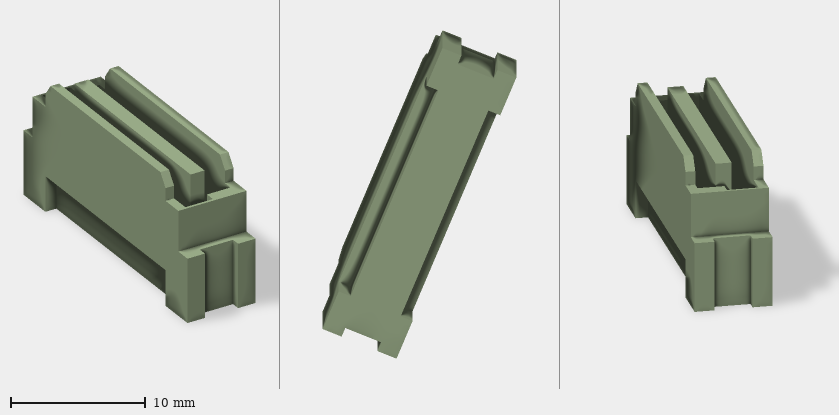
import cadquery as cq

length = 23.3
depth = 5.95
height = 11.0
base_height = 5.45
shoulder_length = 20.71
shoulder_height = 8.9
crest_length = 17.05
crest_chamfer_run = 0.72
crest_chamfer_drop = 1.03

wall = 0.75
cavity_front_length = 20.27
cavity_back_length = 18.6
cavity_step_y = 0.175
cavity_floor = 3.85

tongue_length = 16.5
tongue_thickness = 1.2
tongue_top = 10.32

notch_depth = 0.72
notch_width = 2.9
recess_height = 3.03
recess_depth = 0.95


def block(size_x, y_min, y_max, z_min, z_max):
    """Box centred on X = 0 between the given Y and Z limits."""
    return (
        cq.Workplane("XY", origin=(0, (y_min + y_max) / 2, z_min))
        .box(size_x, y_max - y_min, z_max - z_min, centered=(True, True, False))
    )


def housing():
    right_half = [
        (length / 2, 0),
        (length / 2, base_height),
        (shoulder_length / 2, base_height),
        (shoulder_length / 2, shoulder_height),
        (crest_length / 2, shoulder_height),
        (crest_length / 2, height - crest_chamfer_drop),
        (crest_length / 2 - crest_chamfer_run, height),
    ]
    left_half = [(-x, z) for x, z in reversed(right_half)]
    outline = right_half + left_half
    return cq.Workplane("XZ").polyline(outline).close().extrude(depth / 2, both=True)


def cavity():
    inner_y = depth / 2 - wall
    front = block(cavity_front_length, -inner_y, cavity_step_y, cavity_floor, height)
    back = block(cavity_back_length, cavity_step_y, inner_y, cavity_floor, height)
    return front.union(back)


def tongue():
    half = tongue_thickness / 2
    return block(tongue_length, -half, half, cavity_floor, tongue_top)


def end_notches():
    return (
        cq.Workplane("XY")
        .pushPoints([(-length / 2, 0), (length / 2, 0)])
        .rect(2 * notch_depth, notch_width)
        .extrude(base_height)
    )


def bottom_recesses():
    return (
        cq.Workplane("XY")
        .pushPoints([(0, -depth / 2), (0, depth / 2)])
        .rect(crest_length, 2 * recess_depth)
        .extrude(recess_height)
    )


body = housing().cut(cavity())
body = body.union(tongue())
result = body.cut(end_notches()).cut(bottom_recesses())